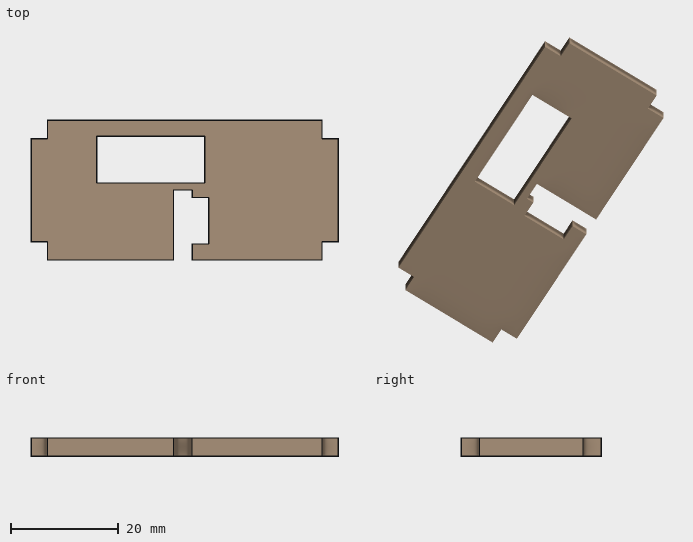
import cadquery as cq

length = 57.0
width = 26.0
thickness = 3.4

corner_length = 3.0
corner_width = thickness

border = 3.0

window_length = 20.0
window_width = 8.6
window_left = 12.2

slot_left = 26.45
slot_width = thickness
slot_depth = width / 2
pocket_reach = 3.1
pocket_width = window_width


def block(x, y, size_x, size_y):
    """Block through the plate thickness with its left front corner at (x, y)."""
    return cq.Workplane("XY").box(size_x, size_y, thickness, centered=False).translate((x, y, 0))


plate = block(0, 0, length, width)

for x in (0, length - corner_length):
    for y in (0, width - corner_width):
        plate = plate.cut(block(x, y, corner_length, corner_width))

window_front = width - border - window_width
plate = plate.cut(block(window_left, window_front, window_length, window_width))

plate = plate.cut(block(slot_left, 0, slot_width, slot_depth))
plate = plate.cut(block(slot_left + slot_width, border, pocket_reach, pocket_width))

result = plate.translate((-length / 2, -width / 2, -thickness / 2))